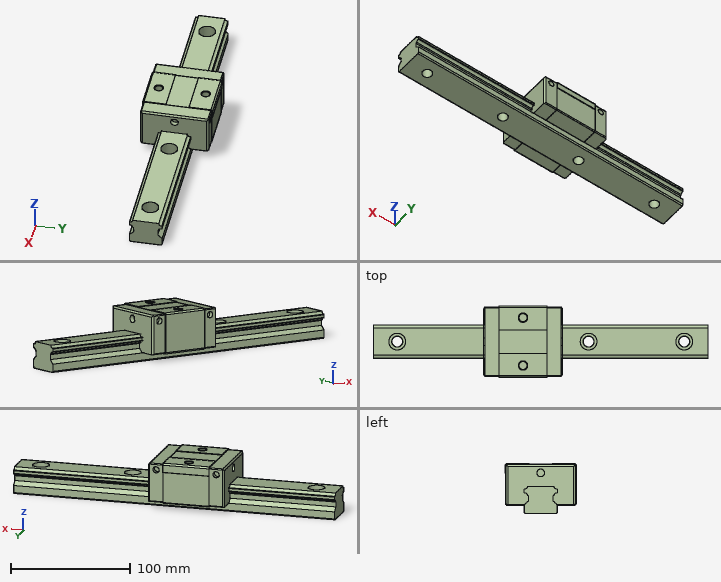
import cadquery as cq

RAIL_LENGTH = 280.0
RAIL_HEIGHT = 23.0
RAIL_HALF_WIDTH = 14.0
RAIL_TOP_HALF_WIDTH = 11.2
RAIL_BASE_CHAMFER = 1.0
NECK_HALF_WIDTH = 10.5
BASE_TOP_Z = 7.3
NECK_BOTTOM_Z = 10.5
NECK_TOP_Z = 14.8
HEAD_BOTTOM_Z = 18.0
HEAD_TOP_Z = 20.2

GROOVE_RADIUS = 2.2
GROOVE_HEIGHT = 1.7
GROOVE_LIP_HALF_WIDTH = 13.7
GROOVE_LIP = 0.5

BOLT_COUNT = 4
BOLT_PITCH = 80.0
BOLT_HOLE_DIAMETER = 9.0
BOLT_HEAD_DIAMETER = 14.0
BOLT_HEAD_DEPTH = 12.0

CARRIAGE_X = -14.8
CARRIAGE_TOP_Z = 42.0
BLOCK_LENGTH = 40.3
BLOCK_WIDTH = 60.0
BLOCK_BOTTOM_Z = 7.0
BLOCK_CHAMFER = 1.5
RELIEF_DEPTH = 0.5
RELIEF_TOP_Z = 34.2
CAP_LENGTH = 13.0
CAP_WIDTH = 58.2
CAP_BOTTOM_Z = 7.5
CAP_TOP_Z = 41.2
CAP_CHAMFER = 0.8
CAP_BEVEL_ALONG = 1.0
CAP_BEVEL_ACROSS = 1.7
CARRIAGE_LENGTH = BLOCK_LENGTH + 2 * CAP_LENGTH

CHANNEL_WIDTH = 19.5
CHANNEL_DEPTH = 0.5

TAPPED_DIAMETER = 6.7
TAPPED_DEPTH = 8.5
TAPPED_MOUTH_DIAMETER = 7.8
TAPPED_MOUTH_TAPER = 45
TAPPED_SPACING = 40.0
END_PORT_DIAMETER = 6.5
END_PORT_DEPTH = 4.2
END_PORT_Z = 34.2
SIDE_PORT_DIAMETER = 5.3
SIDE_PORT_DEPTH = 4.2
SIDE_PORT_Z = 35.8
SIDE_PORT_SPACING = 52.5


def make_rail_bar():
    """Plain rail bar: the waisted profile with its ball grooves along X, without holes."""
    upper_lip_z = HEAD_TOP_Z + GROOVE_LIP
    lower_lip_z = HEAD_BOTTOM_Z - GROOVE_LIP
    half_profile = (
        cq.Workplane("YZ", origin=(-RAIL_LENGTH / 2, 0, 0))
        .lineTo(RAIL_HALF_WIDTH - RAIL_BASE_CHAMFER, 0)
        .lineTo(RAIL_HALF_WIDTH, RAIL_BASE_CHAMFER)
        .lineTo(RAIL_HALF_WIDTH, BASE_TOP_Z)
        .lineTo(NECK_HALF_WIDTH, NECK_BOTTOM_Z)
        .lineTo(NECK_HALF_WIDTH, NECK_TOP_Z)
        .lineTo(RAIL_TOP_HALF_WIDTH, lower_lip_z - GROOVE_HEIGHT)
        .radiusArc((GROOVE_LIP_HALF_WIDTH, lower_lip_z), GROOVE_RADIUS)
        .lineTo(RAIL_HALF_WIDTH, HEAD_BOTTOM_Z)
        .lineTo(RAIL_HALF_WIDTH, HEAD_TOP_Z)
        .lineTo(GROOVE_LIP_HALF_WIDTH, upper_lip_z)
        .radiusArc((RAIL_TOP_HALF_WIDTH, upper_lip_z + GROOVE_HEIGHT), GROOVE_RADIUS)
        .lineTo(RAIL_TOP_HALF_WIDTH, RAIL_HEIGHT)
        .lineTo(0, RAIL_HEIGHT)
        .close()
    )
    half_bar = half_profile.extrude(RAIL_LENGTH)
    return half_bar.union(half_bar.mirror("XZ")).clean()


def make_rail():
    """Rail with a row of counterbored mounting holes."""
    return (
        make_rail_bar()
        .faces(">Z")
        .workplane(origin=(0, 0, RAIL_HEIGHT))
        .rarray(BOLT_PITCH, 2.8, BOLT_COUNT, 1)
        .cboreHole(BOLT_HOLE_DIAMETER, BOLT_HEAD_DIAMETER, BOLT_HEAD_DEPTH)
    )


def make_box(length, width, bottom_z, top_z):
    """Box centred on the carriage in X and Y."""
    return (
        cq.Workplane("XY", origin=(CARRIAGE_X, 0, bottom_z))
        .box(length, width, top_z - bottom_z, centered=(True, True, False))
    )


def make_block():
    """Chamfered block with the channel in its top, set back below the reference edge on the +Y side."""
    block = make_box(BLOCK_LENGTH, BLOCK_WIDTH, BLOCK_BOTTOM_Z, CARRIAGE_TOP_Z)
    block = block.edges("|X").chamfer(BLOCK_CHAMFER)
    channel = make_box(BLOCK_LENGTH, CHANNEL_WIDTH, CARRIAGE_TOP_Z - CHANNEL_DEPTH, CARRIAGE_TOP_Z)
    relief = make_box(BLOCK_LENGTH, RELIEF_DEPTH, BLOCK_BOTTOM_Z, RELIEF_TOP_Z)
    relief = relief.translate((0, (BLOCK_WIDTH - RELIEF_DEPTH) / 2, 0))
    return block.cut(channel).cut(relief)


def make_caps():
    """One bar as long as both end caps and the block, bevelled on the top and sides of its two end faces."""
    half_length = CARRIAGE_LENGTH / 2
    half_width = CAP_WIDTH / 2
    face_half_width = half_width - CAP_BEVEL_ACROSS
    shoulder = half_length - CAP_BEVEL_ALONG
    plan = (
        cq.Workplane("XY", origin=(CARRIAGE_X, 0, CAP_BOTTOM_Z))
        .polyline([
            (half_length, -face_half_width), (half_length, face_half_width),
            (shoulder, half_width), (-shoulder, half_width),
            (-half_length, face_half_width), (-half_length, -face_half_width),
            (-shoulder, -half_width), (shoulder, -half_width),
        ])
        .close()
        .extrude(CAP_TOP_Z - CAP_BOTTOM_Z)
    )
    side_outline = (
        cq.Workplane("XZ", origin=(CARRIAGE_X, 0, 0))
        .polyline([
            (-half_length, CAP_BOTTOM_Z), (half_length, CAP_BOTTOM_Z),
            (half_length, CAP_TOP_Z - CAP_BEVEL_ACROSS), (shoulder, CAP_TOP_Z),
            (-shoulder, CAP_TOP_Z), (-half_length, CAP_TOP_Z - CAP_BEVEL_ACROSS),
        ])
        .close()
        .extrude(half_width, both=True)
    )
    return plan.intersect(side_outline).edges("|X").chamfer(CAP_CHAMFER)


def make_tapped_holes():
    """Tapped holes in the top of the block, each with a countersunk mouth."""
    holes = cq.Workplane("XY", origin=(CARRIAGE_X, 0, CARRIAGE_TOP_Z)).rarray(2.8, TAPPED_SPACING, 1, 2)
    bores = holes.circle(TAPPED_DIAMETER / 2).extrude(-TAPPED_DEPTH)
    mouth_depth = (TAPPED_MOUTH_DIAMETER - TAPPED_DIAMETER) / 2
    mouths = holes.circle(TAPPED_MOUTH_DIAMETER / 2).extrude(-mouth_depth, taper=TAPPED_MOUTH_TAPER)
    return bores.union(mouths)


def make_end_port(side):
    """Port in the end face of one cap: side is -1 for -X and 1 for +X."""
    return (
        cq.Workplane("YZ", origin=(CARRIAGE_X + side * CARRIAGE_LENGTH / 2, 0, END_PORT_Z))
        .circle(END_PORT_DIAMETER / 2)
        .extrude(-side * END_PORT_DEPTH)
    )


def make_side_ports(side):
    """Ports in the sides of both caps: side is -1 for -Y and 1 for +Y."""
    return (
        cq.Workplane("XZ", origin=(CARRIAGE_X, side * CAP_WIDTH / 2, SIDE_PORT_Z))
        .rarray(SIDE_PORT_SPACING, 2.8, 2, 1)
        .circle(SIDE_PORT_DIAMETER / 2)
        .extrude(side * SIDE_PORT_DEPTH)
    )


def make_carriage():
    """Block and end caps as one body, hollowed to ride on the rail."""
    carriage = make_block().union(make_caps()).cut(make_tapped_holes())
    for side in (-1, 1):
        carriage = carriage.cut(make_end_port(side)).cut(make_side_ports(side))
    return carriage.cut(make_rail_bar())


rail = make_rail()
carriage = make_carriage()

result = cq.Compound.makeCompound([rail.val(), carriage.val()])